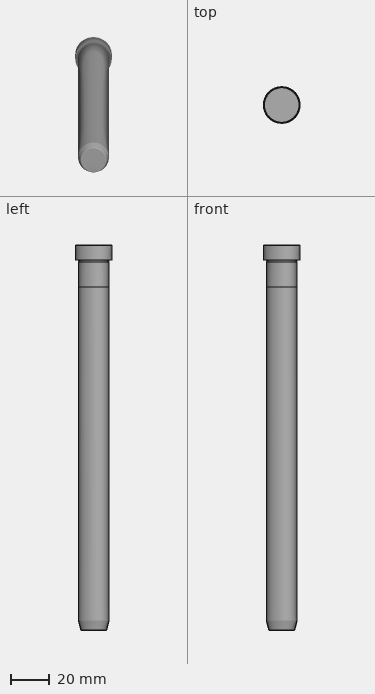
import cadquery as cq
import math

total_length = 200.0
pin_radius = 16.0 / 2

head_radius = 19.0 / 2
head_height = 8.0
head_chamfer = 0.5
neck_length = 14.0
relief_groove_radius = 0.5

lead_in_length = 5.0
lead_in_angle = 15.0
tip_edge_radius = 0.5

head_bottom = total_length - head_height
joint_height = head_bottom - neck_length

tip_radius = pin_radius - lead_in_length * math.tan(math.radians(lead_in_angle))


def revolve_about_z(profile):
    """Full turn of a closed XZ profile about the Z axis."""
    return profile.revolve(360, (0, 0, 0), (0, 1, 0))


def make_headed_neck():
    """Upper body: chamfered head on a neck, with a half-round relief groove under the head."""
    groove_bottom = head_bottom - 2 * relief_groove_radius
    groove_deepest_point = (pin_radius - relief_groove_radius, head_bottom - relief_groove_radius)
    profile = (
        cq.Workplane("XZ")
        .moveTo(0, joint_height)
        .lineTo(pin_radius, joint_height)
        .lineTo(pin_radius, groove_bottom)
        .threePointArc(groove_deepest_point, (pin_radius, head_bottom))
        .lineTo(head_radius, head_bottom)
        .lineTo(head_radius, total_length - head_chamfer)
        .lineTo(head_radius - head_chamfer, total_length)
        .lineTo(0, total_length)
        .close()
    )
    return revolve_about_z(profile)


def make_shank():
    """Lower body: plain shank with a conical lead-in and a rounded tip edge."""
    profile = (
        cq.Workplane("XZ")
        .lineTo(tip_radius, 0)
        .lineTo(pin_radius, lead_in_length)
        .lineTo(pin_radius, joint_height)
        .lineTo(0, joint_height)
        .close()
    )
    return revolve_about_z(profile).faces("<Z").edges().fillet(tip_edge_radius)


headed_neck = make_headed_neck()
shank = make_shank()

result = cq.Compound.makeCompound([headed_neck.val(), shank.val()])